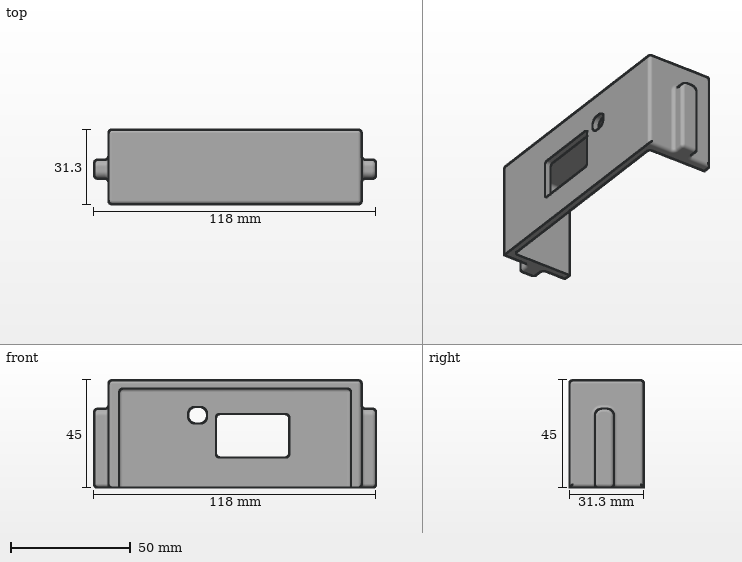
import cadquery as cq

total_length = 118.0
depth = 31.3
height = 45.0
edge_radius = 1.5

rib_projection = 6.0
rib_width = 8.0
rib_height = 33.0
rib_top_radius = 3.0
rib_y = -1.0

body_length = total_length - 2 * rib_projection
side_wall = 4.5
top_wall = 3.5
back_wall = 3.0

window_length = 30.6
window_height = 18.0
window_x = 7.3
window_z = 21.7
window_radius = 1.5
button_length = 7.8
button_height = 6.8
button_x = -15.7
button_z = 30.3
button_radius = 3.0


def rounded_outside():
    body = cq.Workplane("XY").box(body_length, depth, height, centered=(True, True, False))
    rib_bar = cq.Workplane("XY").box(total_length, rib_width, rib_height, centered=(True, True, False))
    rib_bar = rib_bar.edges("|X and >Z").fillet(rib_top_radius)
    outside = body.union(rib_bar.translate((0, rib_y, 0)))

    rounded = outside.edges("not |X")
    rounded = rounded.add(outside.faces(">Z").edges("|X"))
    rounded = rounded.add(outside.faces("<Z").edges("|X").edges("not (<Y or >Y)"))
    return rounded.fillet(edge_radius)


def cavity():
    inside = cq.Workplane("XY").box(
        body_length - 2 * side_wall, depth, height - top_wall, centered=(True, True, False)
    )
    inside = inside.edges("|Y and >Z").fillet(edge_radius)
    inside = inside.faces(">Y").edges("not <Z").fillet(edge_radius)
    return inside.translate((0, -back_wall, 0))


def back_opening(length, opening_height, x, z, radius):
    cutter = cq.Workplane("XY").box(length, depth, opening_height)
    return cutter.edges("|Y").fillet(radius).translate((x, depth / 2, z))


result = rounded_outside()
result = result.cut(cavity())
result = result.cut(back_opening(window_length, window_height, window_x, window_z, window_radius))
result = result.cut(back_opening(button_length, button_height, button_x, button_z, button_radius))